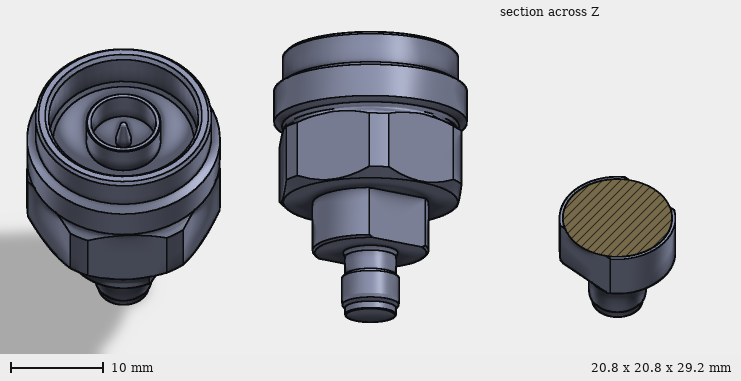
import cadquery as cq
import math


TOTAL_HEIGHT = 29.18
PLUG_TOP = 7.02
BODY_TOP = 12.55
NUT_BOTTOM = 12.72
RING_TOP = 25.7

PLUG_RADIUS = 2.75
COLLAR_RADIUS = 3.1
COLLAR_BOTTOM = 0.83
COLLAR_TOP = 4.5
COLLAR_LOWER_BEVEL = 0.37
COLLAR_TAPER_START = 1.65
COLLAR_TAPER = 0.05
COLLAR_UPPER_BEVEL = 0.35
PLUG_ROOT_FLARE = 0.2
PLUG_ROOT_HEIGHT = 0.48
PLUG_END_CHAMFER = 0.1

BODY_RADIUS = 6.25
BODY_ACROSS_FLATS = 10.1
BODY_CHAMFER = 0.25
FLANGE_RADIUS = 6.5
FLANGE_LOWER_RADIUS = 5.9

NUT_RADIUS = 10.4
HEX_ACROSS_FLATS = 18.97
HEX_BOTTOM_CHAMFER = 1.0
HEX_SHOULDER = 19.7
HEX_TOP_RADIUS = 9.8
GROOVE_BOTTOM = 20.15
GROOVE_RADIUS = 9.4
GROOVE_MIDDLE = 20.7
GROOVE_TOP = 21.2
GROOVE_TOP_RADIUS = 9.55
RING_LOWER_EDGE = 21.65
RING_UPPER_EDGE = 25.15
RIM_RADIUS = 9.475
RIM_CHAMFER = 0.33

BORE_RADIUS = 8.05
BORE_LEAD_IN = 0.4
FLOOR_RADIUS = 7.6
FLOOR_HEIGHT = 24.7
FLOOR_BEVEL_HEIGHT = 0.35

SLEEVE_RADIUS = 4.0
SLEEVE_INNER_RADIUS = 3.5
SLEEVE_TOP = 28.0
SLEEVE_CHAMFER = 0.1
PIN_RADIUS = 0.825
PIN_TIP_RADIUS = 0.38
PIN_TAPER_START = 25.3
PIN_TOP = 27.8


def revolve(points):
    """Revolve a closed (radius, height) outline about the Z axis."""
    return cq.Workplane("XZ").polyline(points).close().revolve(360, (0, 0), (0, 1))


def make_plug():
    return revolve([
        (0, 0),
        (PLUG_RADIUS - PLUG_END_CHAMFER, 0),
        (PLUG_RADIUS, PLUG_END_CHAMFER),
        (PLUG_RADIUS, COLLAR_BOTTOM),
        (COLLAR_RADIUS - COLLAR_TAPER, COLLAR_BOTTOM + COLLAR_LOWER_BEVEL),
        (COLLAR_RADIUS, COLLAR_TAPER_START),
        (COLLAR_RADIUS, COLLAR_TOP - COLLAR_UPPER_BEVEL),
        (PLUG_RADIUS, COLLAR_TOP),
        (PLUG_RADIUS, PLUG_TOP - PLUG_ROOT_HEIGHT),
        (PLUG_RADIUS + PLUG_ROOT_FLARE, PLUG_TOP),
        (0, PLUG_TOP),
    ])


def make_body():
    """Round body cut by two flats facing -X and +X, chamfered at its lower edge."""
    barrel = revolve([
        (0, PLUG_TOP),
        (BODY_RADIUS - BODY_CHAMFER, PLUG_TOP),
        (BODY_RADIUS, PLUG_TOP + BODY_CHAMFER),
        (BODY_RADIUS, BODY_TOP),
        (0, BODY_TOP),
    ])
    flats = cq.Workplane("XY").box(BODY_ACROSS_FLATS, 2 * NUT_RADIUS, 2 * TOTAL_HEIGHT)
    flange = revolve([
        (0, BODY_TOP),
        (FLANGE_LOWER_RADIUS, BODY_TOP),
        (FLANGE_RADIUS, NUT_BOTTOM),
        (0, NUT_BOTTOM),
    ])
    return barrel.intersect(flats).union(flange)


def groove_arc_radius(radial_rise, height):
    """Radius of an arc that starts parallel to the axis and rises radially over a height."""
    return (radial_rise**2 + height**2) / (2 * radial_rise)


def make_hex():
    """Hexagon with round corners, bevelled above and below; two flats face -X and +X.

    The lower half of the round groove runs out into the upper bevel.
    """
    lower_arc = groove_arc_radius(HEX_TOP_RADIUS - GROOVE_RADIUS, GROOVE_MIDDLE - GROOVE_BOTTOM)
    envelope = (
        cq.Workplane("XZ")
        .moveTo(0, NUT_BOTTOM)
        .lineTo(NUT_RADIUS - HEX_BOTTOM_CHAMFER, NUT_BOTTOM)
        .lineTo(NUT_RADIUS, NUT_BOTTOM + HEX_BOTTOM_CHAMFER)
        .lineTo(NUT_RADIUS, HEX_SHOULDER)
        .lineTo(HEX_TOP_RADIUS, GROOVE_BOTTOM)
        .radiusArc((GROOVE_RADIUS, GROOVE_MIDDLE), lower_arc)
        .lineTo(0, GROOVE_MIDDLE)
        .close()
        .revolve(360, (0, 0), (0, 1))
    )
    across_corners = HEX_ACROSS_FLATS / math.cos(math.pi / 6)
    prism = (
        cq.Workplane("XY")
        .polygon(6, across_corners)
        .extrude(TOTAL_HEIGHT)
        .rotate((0, 0, 0), (0, 0, 1), 30)
    )
    return envelope.intersect(prism)


def make_ring():
    """Upper half of the groove, widest ring and rim of the nut."""
    upper_arc = groove_arc_radius(GROOVE_TOP_RADIUS - GROOVE_RADIUS, GROOVE_TOP - GROOVE_MIDDLE)
    return (
        cq.Workplane("XZ")
        .moveTo(0, GROOVE_MIDDLE)
        .lineTo(GROOVE_RADIUS, GROOVE_MIDDLE)
        .radiusArc((GROOVE_TOP_RADIUS, GROOVE_TOP), upper_arc)
        .lineTo(NUT_RADIUS, RING_LOWER_EDGE)
        .lineTo(NUT_RADIUS, RING_UPPER_EDGE)
        .lineTo(RIM_RADIUS, RING_TOP)
        .lineTo(RIM_RADIUS, TOTAL_HEIGHT - RIM_CHAMFER)
        .lineTo(RIM_RADIUS - RIM_CHAMFER, TOTAL_HEIGHT)
        .lineTo(0, TOTAL_HEIGHT)
        .close()
        .revolve(360, (0, 0), (0, 1))
    )


def make_socket():
    return revolve([
        (0, FLOOR_HEIGHT),
        (FLOOR_RADIUS, FLOOR_HEIGHT),
        (BORE_RADIUS, FLOOR_HEIGHT + FLOOR_BEVEL_HEIGHT),
        (BORE_RADIUS, TOTAL_HEIGHT - BORE_LEAD_IN),
        (BORE_RADIUS + BORE_LEAD_IN, TOTAL_HEIGHT),
        (0, TOTAL_HEIGHT),
    ])


def make_sleeve():
    return revolve([
        (SLEEVE_INNER_RADIUS, FLOOR_HEIGHT),
        (SLEEVE_RADIUS, FLOOR_HEIGHT),
        (SLEEVE_RADIUS, SLEEVE_TOP - SLEEVE_CHAMFER),
        (SLEEVE_RADIUS - SLEEVE_CHAMFER, SLEEVE_TOP),
        (SLEEVE_INNER_RADIUS, SLEEVE_TOP),
    ])


def make_pin():
    """Tapered contact pin with a hemispherical tip."""
    tip_start = PIN_TOP - PIN_TIP_RADIUS
    tip_mid = PIN_TIP_RADIUS * math.sqrt(0.5)
    outline = (
        cq.Workplane("XZ")
        .moveTo(0, FLOOR_HEIGHT)
        .lineTo(PIN_RADIUS, FLOOR_HEIGHT)
        .lineTo(PIN_RADIUS, PIN_TAPER_START)
        .lineTo(PIN_TIP_RADIUS, tip_start)
        .threePointArc((tip_mid, tip_start + tip_mid), (0, PIN_TOP))
        .close()
    )
    return outline.revolve(360, (0, 0), (0, 1))


nut = make_hex().union(make_ring()).cut(make_socket())
result = nut.union(make_body()).union(make_plug()).union(make_sleeve()).union(make_pin())